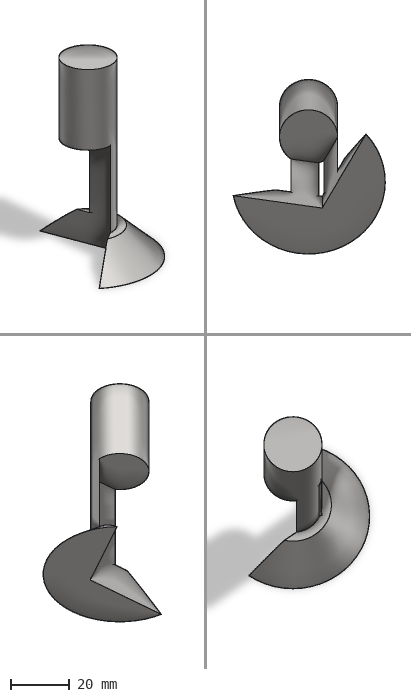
import cadquery as cq
import math

total_height = 74.8
cylinder_diameter = 19.8

foot_height = 11.8
foot_bottom_radius = 26.1
foot_top_radius = 13.1

notch_top = 44.5
notch_apex_y = 10.55
notch_side_angle = 34.7
notch_half_width = 3 * foot_bottom_radius


def make_foot():
    """Truncated cone standing on Z = 0."""
    return (
        cq.Workplane("XY")
        .circle(foot_bottom_radius)
        .workplane(offset=foot_height)
        .circle(foot_top_radius)
        .loft(ruled=True)
    )


def make_cylinder():
    """Full-height cylinder on the axis of the foot."""
    return cq.Workplane("XY").circle(cylinder_diameter / 2).extrude(total_height)


def make_notch():
    """Triangular prism whose apex lies just behind the cylinder.

    It leaves two thin circular segments of the cylinder as legs.
    """
    notch_depth = notch_half_width * math.tan(math.radians(notch_side_angle))
    open_y = notch_apex_y - notch_depth
    return (
        cq.Workplane("XY")
        .moveTo(0, notch_apex_y)
        .lineTo(-notch_half_width, open_y)
        .lineTo(notch_half_width, open_y)
        .close()
        .extrude(notch_top)
    )


result = make_foot().union(make_cylinder()).cut(make_notch())